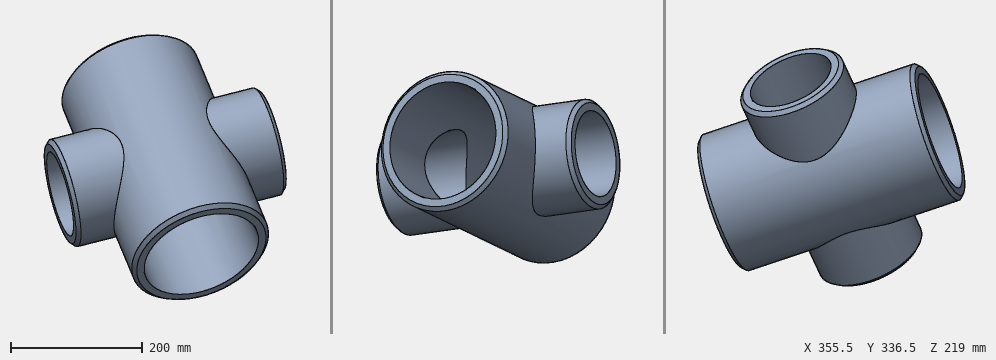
import cadquery as cq

run_length = 355.5
run_outer_diameter = 219.0
run_bore_diameter = 183.0
branch_length = 336.5
branch_outer_diameter = 168.5
branch_bore_diameter = 132.0
end_chamfer = 6.0


def centred_cylinder(plane, diameter, length):
    """Cylinder centred on the origin, along the normal of the plane."""
    return cq.Workplane(plane).circle(diameter / 2).extrude(length / 2, both=True)


def chamfered_cylinder(plane, diameter, length, end_faces):
    """Outer body of a pipe with both rims chamfered."""
    cylinder = centred_cylinder(plane, diameter, length)
    return cylinder.faces(end_faces).edges().chamfer(end_chamfer)


run = chamfered_cylinder("YZ", run_outer_diameter, run_length, "|X")
branch = chamfered_cylinder("XZ", branch_outer_diameter, branch_length, "|Y")
body = run.union(branch)

run_bore = centred_cylinder("YZ", run_bore_diameter, run_length)
branch_bore = centred_cylinder("XZ", branch_bore_diameter, branch_length)
result = body.cut(run_bore).cut(branch_bore)